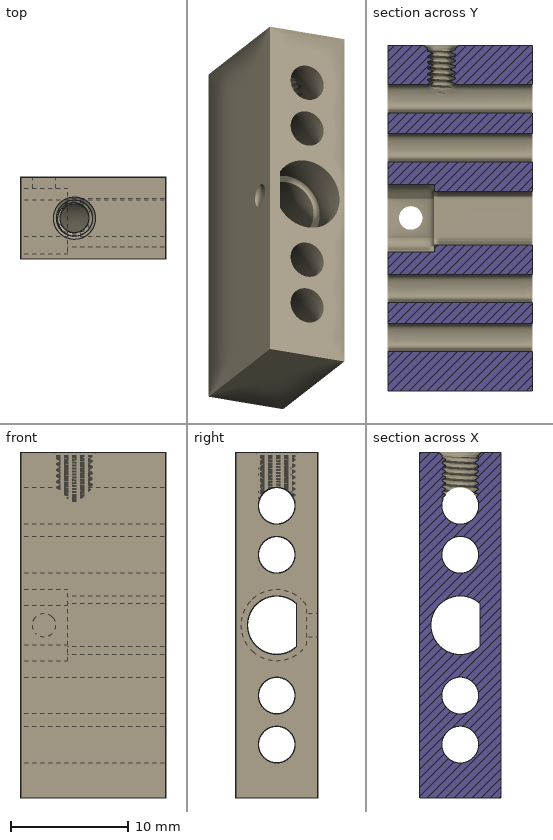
import cadquery as cq
import math

LENGTH_X = 12.4
WIDTH_Y = 7.0
HEIGHT_Z = 29.48
FRONT_X = -LENGTH_X / 2
TOP_Z = HEIGHT_Z / 2

CROSS_HOLE_DIAMETER = 3.1
INNER_HOLE_Z = 6.0
OUTER_HOLE_Z = 10.18

POCKET_DIAMETER = 6.08
POCKET_FLAT_Y = 2.54
POCKET_DEPTH = 4.0
BORE_DIAMETER = 4.96
BORE_FLAT_Y = 1.67

SIDE_HOLE_DIAMETER = 2.0
SIDE_HOLE_X = FRONT_X + 2.0

SCREW_X = FRONT_X + 4.6
THREAD_MINOR_DIAMETER = 2.46
THREAD_MAJOR_DIAMETER = 3.08
THREAD_PITCH = 0.5
THREAD_TURNS = 8
THREAD_FLANK_ANGLE = 30.0
THREAD_DEPTH = (THREAD_MAJOR_DIAMETER - THREAD_MINOR_DIAMETER) / 2
FLANK_RISE = THREAD_DEPTH * math.tan(math.radians(THREAD_FLANK_ANGLE))
THREAD_ROOT_WIDTH = THREAD_PITCH / 8
COUNTERSINK_DIAMETER = 3.6
COUNTERSINK_DEPTH = (COUNTERSINK_DIAMETER - THREAD_MAJOR_DIAMETER) / 2
COUNTERSINK_END_Z = TOP_Z - COUNTERSINK_DEPTH
RELIEF_LENGTH = 0.1
GROOVE_OVERLAP = 0.05


def cross_holes():
    """Four through holes along X."""
    heights = [side * z for side in (-1, 1) for z in (INNER_HOLE_Z, OUTER_HOLE_Z)]
    return (
        cq.Workplane("YZ", origin=(FRONT_X, 0, 0))
        .pushPoints([(0, z) for z in heights])
        .circle(CROSS_HOLE_DIAMETER / 2)
        .extrude(LENGTH_X)
    )


def d_bore(diameter, flat_y, depth):
    """D-shaped prism running along X from the -X face."""
    radius = diameter / 2
    flat_half_height = math.sqrt(radius**2 - flat_y**2)
    return (
        cq.Workplane("YZ", origin=(FRONT_X, 0, 0))
        .moveTo(flat_y, -flat_half_height)
        .lineTo(flat_y, flat_half_height)
        .threePointArc((-radius, 0), (flat_y, -flat_half_height))
        .close()
        .extrude(depth)
    )


def side_hole():
    """Round hole along +Y, from the middle of the block outwards."""
    return (
        cq.Workplane("XZ", origin=(SIDE_HOLE_X, 0, 0))
        .circle(SIDE_HOLE_DIAMETER / 2)
        .extrude(-WIDTH_Y / 2)
    )


def screw_bore():
    """Minor-diameter bore, opening through a flank-angle relief to a 45 degree countersink."""
    minor_radius = THREAD_MINOR_DIAMETER / 2
    major_radius = THREAD_MAJOR_DIAMETER / 2
    relief_end_z = COUNTERSINK_END_Z - RELIEF_LENGTH
    return (
        cq.Workplane("XZ", origin=(SCREW_X, 0, 0))
        .moveTo(0, OUTER_HOLE_Z)
        .lineTo(minor_radius, OUTER_HOLE_Z)
        .lineTo(minor_radius, relief_end_z - FLANK_RISE)
        .lineTo(major_radius, relief_end_z)
        .lineTo(major_radius, COUNTERSINK_END_Z)
        .lineTo(COUNTERSINK_DIAMETER / 2, TOP_Z)
        .lineTo(0, TOP_Z)
        .close()
        .revolve(360, (0, 0), (0, 1))
    )


def thread_groove():
    """Right-hand helical groove, running from the cross hole up into the relief."""
    minor_radius = THREAD_MINOR_DIAMETER / 2
    major_radius = THREAD_MAJOR_DIAMETER / 2
    inner_radius = minor_radius - GROOVE_OVERLAP
    root_half = THREAD_ROOT_WIDTH / 2
    mouth_half = root_half + FLANK_RISE
    groove_height = THREAD_TURNS * THREAD_PITCH
    helix = cq.Wire.makeHelix(THREAD_PITCH, groove_height, inner_radius)
    groove = (
        cq.Workplane("XZ")
        .moveTo(inner_radius, -mouth_half)
        .lineTo(minor_radius, -mouth_half)
        .lineTo(major_radius, -root_half)
        .lineTo(major_radius, root_half)
        .lineTo(minor_radius, mouth_half)
        .lineTo(inner_radius, mouth_half)
        .close()
        .sweep(cq.Workplane(obj=helix), isFrenet=True)
    )
    return groove.translate((SCREW_X, 0, COUNTERSINK_END_Z - groove_height))


block = cq.Workplane("XY").box(LENGTH_X, WIDTH_Y, HEIGHT_Z)
threaded = block.cut(screw_bore()).cut(thread_groove())
result = (
    threaded.cut(cross_holes())
    .cut(d_bore(POCKET_DIAMETER, POCKET_FLAT_Y, POCKET_DEPTH))
    .cut(d_bore(BORE_DIAMETER, BORE_FLAT_Y, LENGTH_X))
    .cut(side_hole())
)